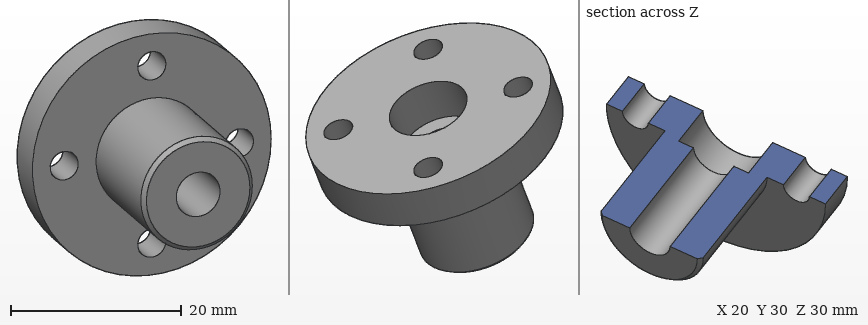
import cadquery as cq

total_length = 20.0
flange_diameter = 30.0
flange_thickness = 5.0
barrel_diameter = 14.0
barrel_chamfer = 0.5

bore_diameter = 9.5
bore_depth = 5.5
end_hole_diameter = 5.5

mounting_hole_diameter = 3.5
mounting_circle_radius = 11.0
mounting_hole_count = 4


def cylinder_along_x(diameter, length):
    """Cylinder on the part axis, starting at the flange face."""
    return cq.Workplane("YZ").circle(diameter / 2).extrude(length)


def mounting_holes():
    """Ring of through holes in the flange."""
    return (
        cq.Workplane("YZ")
        .polarArray(mounting_circle_radius, 0, 360, mounting_hole_count)
        .circle(mounting_hole_diameter / 2)
        .extrude(flange_thickness)
    )


flange = cylinder_along_x(flange_diameter, flange_thickness)
barrel = cylinder_along_x(barrel_diameter, total_length).faces(">X").chamfer(barrel_chamfer)

result = (
    flange.union(barrel)
    .cut(cylinder_along_x(bore_diameter, bore_depth))
    .cut(cylinder_along_x(end_hole_diameter, total_length))
    .cut(mounting_holes())
)